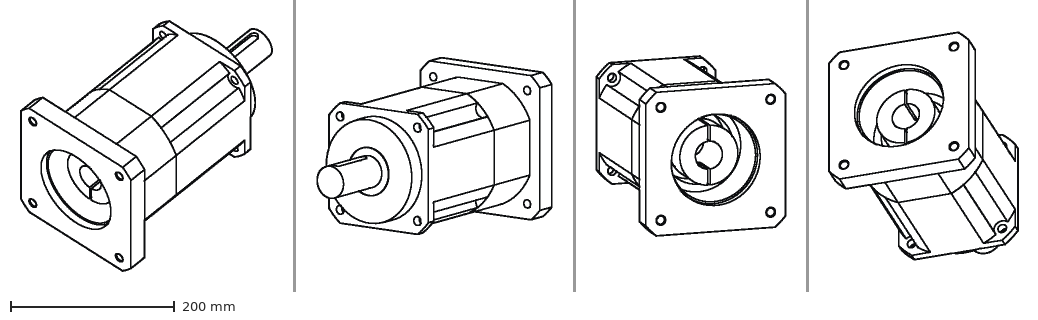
import cadquery as cq
import math


MOUNT_PLATE_END = 25.0
JOINT = 100.2
GROOVE_END = 226.0
FRONT_PLATE_END = 237.3
PILOT_TAPER_START = 249.0
PILOT_END = 257.5
SHOULDER_END = 258.5
SHAFT_END = 338.5

MOUNT_PLATE_WIDTH = 180.0
MOUNT_PLATE_CORNER_DIA = 236.3
BODY_WIDTH = 150.0
BODY_CORNER_DIA = 165.0
FRONT_PLATE_CORNER_DIA = 190.0

PILOT_DIA = 130.0
PILOT_TIP_DIA = 129.0
SHOULDER_DIA = 60.0
SHAFT_DIA = 40.0
KEYWAY_WIDTH = 12.0
KEYWAY_LENGTH = 66.0
KEYWAY_DEPTH = 5.0
KEYWAY_TIP_GAP = 5.8

FRONT_HOLE_DIA = 11.0
CLEARANCE_GROOVE_DIA = 21.3
FRONT_HOLE_PITCH = BODY_CORNER_DIA / math.sqrt(2)
MOUNT_HOLE_DIA = 10.0
MOUNT_HOLE_CHAMFER = 1.0
MOUNT_HOLE_PITCH = 141.5

MOTOR_PILOT_DIA = 114.5
MOTOR_PILOT_DEPTH = 10.0
BORE_DIA = 109.5
BORE_DEPTH = 67.7
INNER_BORE_DIA = 90.0

HUB_DIA = 74.8
HUB_BORE_DIA = 35.0
HUB_NECK_DIA = 68.7
HUB_FACE = 26.7
HUB_SLOT_WIDTH = 3.0
HUB_SLOT_DEPTH = 40.5


def section_at(y):
    """Work plane square to the axis at station y, facing +Y, with local y pointing along -Z."""
    return cq.Workplane("XZ", origin=(0, y, 0)).transformed(rotate=(180, 0, 0))


def cylinder(diameter, start, end):
    return section_at(start).circle(diameter / 2).extrude(end - start)


def rounded_square(width, corner_dia, start, end):
    """Square prism whose corners are trimmed by a concentric cylinder."""
    prism = section_at(start).rect(width, width).extrude(end - start)
    return prism.intersect(cylinder(corner_dia, start, end))


def corner_cylinders(pitch, diameter, start, end):
    """Four cylinders parallel to the axis, on the corners of a square."""
    corners = section_at(start).rect(pitch, pitch, forConstruction=True).vertices()
    return corners.circle(diameter / 2).extrude(end - start)


def make_pilot():
    straight = cylinder(PILOT_DIA, FRONT_PLATE_END, PILOT_TAPER_START)
    taper = (
        section_at(PILOT_TAPER_START)
        .circle(PILOT_DIA / 2)
        .workplane(offset=PILOT_END - PILOT_TAPER_START)
        .circle(PILOT_TIP_DIA / 2)
        .loft()
    )
    return straight.union(taper)


def make_keyway():
    """Round-ended key seat cut into the +Z side of the shaft."""
    center_y = SHAFT_END - KEYWAY_TIP_GAP - KEYWAY_LENGTH / 2
    floor_z = SHAFT_DIA / 2 - KEYWAY_DEPTH
    return (
        cq.Workplane("XY", origin=(0, center_y, floor_z))
        .slot2D(KEYWAY_LENGTH, KEYWAY_WIDTH, 90)
        .extrude(SHAFT_DIA)
    )


def make_gearbox():
    """Gear housing with its front plate, pilot and output shaft."""
    grooved_body = rounded_square(BODY_WIDTH, BODY_CORNER_DIA, JOINT, GROOVE_END)
    grooved_body = grooved_body.cut(
        corner_cylinders(FRONT_HOLE_PITCH, CLEARANCE_GROOVE_DIA, JOINT, GROOVE_END)
    )
    front_plate = rounded_square(BODY_WIDTH, FRONT_PLATE_CORNER_DIA, GROOVE_END, FRONT_PLATE_END)
    front_plate = front_plate.cut(
        corner_cylinders(FRONT_HOLE_PITCH, FRONT_HOLE_DIA, GROOVE_END, FRONT_PLATE_END)
    )
    shoulder = cylinder(SHOULDER_DIA, PILOT_END, SHOULDER_END)
    shaft = cylinder(SHAFT_DIA, SHOULDER_END, SHAFT_END).cut(make_keyway())
    return grooved_body.union(front_plate).union(make_pilot()).union(shoulder).union(shaft)


def make_adapter():
    """Motor adapter: square mounting plate and plain body around a stepped bore."""
    plate = rounded_square(MOUNT_PLATE_WIDTH, MOUNT_PLATE_CORNER_DIA, 0, MOUNT_PLATE_END)
    plate = plate.cut(corner_cylinders(MOUNT_HOLE_PITCH, MOUNT_HOLE_DIA, 0, MOUNT_PLATE_END))
    hole_rims = plate.faces("<Y").edges(cq.selectors.RadiusNthSelector(0))
    plate = hole_rims.chamfer(MOUNT_HOLE_CHAMFER)
    body = rounded_square(BODY_WIDTH, BODY_CORNER_DIA, MOUNT_PLATE_END, JOINT)
    return (
        plate.union(body)
        .cut(cylinder(MOTOR_PILOT_DIA, 0, MOTOR_PILOT_DEPTH))
        .cut(cylinder(BORE_DIA, 0, BORE_DEPTH))
        .cut(cylinder(INNER_BORE_DIA, 0, JOINT))
    )


def make_clamp_hub():
    """Input hub standing on the gear housing: a slit clamping head on a slimmer neck."""
    neck_start = HUB_FACE + HUB_SLOT_DEPTH
    slot = section_at(HUB_FACE).rect(HUB_SLOT_WIDTH, HUB_DIA).extrude(HUB_SLOT_DEPTH)
    head = cylinder(HUB_DIA, HUB_FACE, neck_start).cut(slot)
    neck = cylinder(HUB_NECK_DIA, neck_start, JOINT)
    return head.union(neck).cut(cylinder(HUB_BORE_DIA, HUB_FACE, JOINT))


gearbox = make_gearbox()
adapter = make_adapter()
clamp_hub = make_clamp_hub()

result = cq.Compound.makeCompound([gearbox.val(), adapter.val(), clamp_hub.val()])